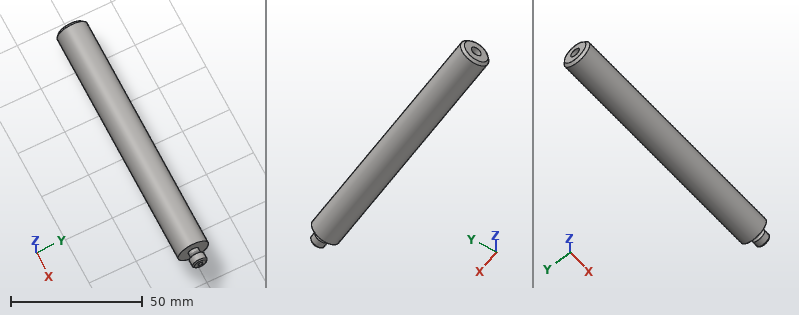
import cadquery as cq
import math

TOTAL_LENGTH = 109.0
START_X = -TOTAL_LENGTH / 2

HANDLE_LENGTH = 103.0
HANDLE_RADIUS = 13.0 / 2
HANDLE_CHAMFER = 1.1
BORE_RADIUS = 2.2

SHANK_LENGTH = 10.9
NECK_LENGTH = 1.7
NECK_FILLET = 0.7
HEAD_RADIUS = 3.2
FLARE_LENGTH = HEAD_RADIUS - BORE_RADIUS
TIP_CHAMFER = 0.5
PASSAGE_RADIUS = 1.0

HANDLE_END_X = START_X + HANDLE_LENGTH
NIPPLE_LENGTH = TOTAL_LENGTH - HANDLE_LENGTH + SHANK_LENGTH


def cylinder_along_x(start_x, length, radius):
    """Solid cylinder on the X axis, extending toward +X."""
    return cq.Workplane("YZ", origin=(start_x, 0, 0)).circle(radius).extrude(length)


def make_handle():
    """Round bar with a chamfer at its -X end and a bore along its full length."""
    bar = cylinder_along_x(START_X, HANDLE_LENGTH, HANDLE_RADIUS)
    bar = bar.faces("<X").chamfer(HANDLE_CHAMFER)
    return bar.cut(cylinder_along_x(START_X, HANDLE_LENGTH, BORE_RADIUS))


def make_nipple():
    """Turned fitting that fills the +X end of the bore and carries a flared head."""
    shank_start_x = HANDLE_END_X - SHANK_LENGTH
    flare_start_x = HANDLE_END_X + NECK_LENGTH
    head_start_x = flare_start_x + FLARE_LENGTH
    tip_x = START_X + TOTAL_LENGTH
    fillet_reach = NECK_FILLET * math.tan(math.radians(22.5))
    fillet_start_x = flare_start_x - fillet_reach
    cone_offset = fillet_reach * math.cos(math.radians(45))
    profile = (
        cq.Workplane("XY")
        .moveTo(shank_start_x, 0)
        .lineTo(shank_start_x, BORE_RADIUS)
        .lineTo(fillet_start_x, BORE_RADIUS)
        .tangentArcPoint((flare_start_x + cone_offset, BORE_RADIUS + cone_offset), relative=False)
        .lineTo(head_start_x, HEAD_RADIUS)
        .lineTo(tip_x - TIP_CHAMFER, HEAD_RADIUS)
        .lineTo(tip_x, HEAD_RADIUS - TIP_CHAMFER)
        .lineTo(tip_x, 0)
        .close()
    )
    body = profile.revolve(360, (0, 0, 0), (1, 0, 0))
    return body.cut(cylinder_along_x(shank_start_x, NIPPLE_LENGTH, PASSAGE_RADIUS))


handle = make_handle()
nipple = make_nipple()

result = cq.Compound.makeCompound([handle.val(), nipple.val()])